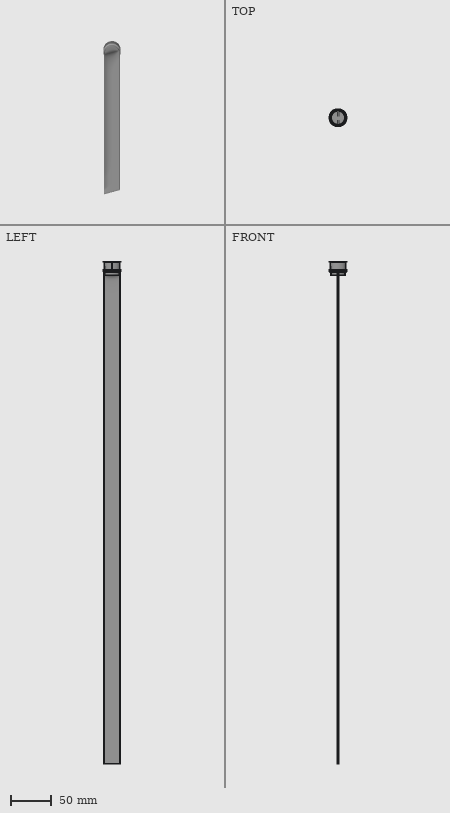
import cadquery as cq

total_height = 614.0

blade_width = 20.0
blade_thickness = 1.5

cap_diameter = 21.0
cap_height = 13.0
cap_bottom_chamfer = 1.0
dish_diameter = 17.0
dish_depth = 1.0

top_rim_height = 0.5
bottom_flange_height = 3.0
groove_floor_diameter = 18.0

collar_diameter = 17.5
collar_height = 4.0

ring_outer_diameter = 19.5
ring_gap = 0.5

cap_bottom_z = total_height - cap_height
collar_bottom_z = cap_bottom_z - collar_height
blade_top_z = cap_bottom_z
groove_bottom_z = cap_bottom_z + bottom_flange_height
groove_top_z = total_height - top_rim_height


def cylinder(diameter, bottom_z, top_z):
    base = cq.Workplane("XY").workplane(offset=bottom_z)
    return base.circle(diameter / 2).extrude(top_z - bottom_z)


def groove_band(outer_diameter):
    """Ring-shaped volume that sits on the groove floor and spans the groove's height."""
    outside = cylinder(outer_diameter, groove_bottom_z, groove_top_z)
    return outside.cut(cylinder(groove_floor_diameter, groove_bottom_z, groove_top_z))


def make_blade():
    strip = cq.Workplane("XY").rect(blade_thickness, blade_width)
    return strip.extrude(blade_top_z)


def make_cap(blade):
    cap = cylinder(cap_diameter, cap_bottom_z, total_height)
    cap = cap.faces("<Z").edges().chamfer(cap_bottom_chamfer)
    cap = cap.cut(groove_band(cap_diameter))
    cap = cap.cut(cylinder(dish_diameter, total_height - dish_depth, total_height))
    cap = cap.union(cylinder(collar_diameter, collar_bottom_z, cap_bottom_z))
    return cap.cut(blade)


def make_split_ring():
    gap_length = ring_outer_diameter / 2
    gap = (
        cq.Workplane("XY")
        .workplane(offset=groove_bottom_z)
        .center(-gap_length / 2, 0)
        .rect(gap_length, ring_gap)
        .extrude(groove_top_z - groove_bottom_z)
    )
    return groove_band(ring_outer_diameter).cut(gap)


blade = make_blade()
cap = make_cap(blade)
split_ring = make_split_ring()

result = cq.Compound.makeCompound([blade.val(), *cap.vals(), *split_ring.vals()])